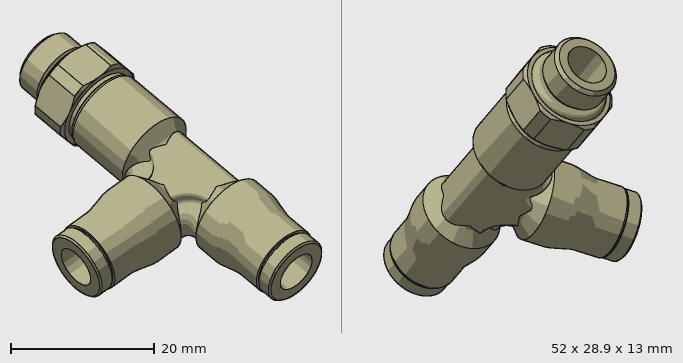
import cadquery as cq
import math


TOTAL_LENGTH = 52.0
BRANCH_X = 30.4
BRANCH_REACH = 21.95
RUN_REACH = TOTAL_LENGTH - BRANCH_X
BODY_R = 6.1
SHOULDER = 7.55

THREAD_R = 4.9
THREAD_CHAMFER = 0.5
THREAD_END = 4.05
RELIEF_R = 4.3

COLLAR_START = 4.75
COLLAR_R = 5.8
HEX_START = 5.55
COLLAR_ROUND = HEX_START - COLLAR_START
HEX_END = 11.5
HEX_FLATS = 13.0
HEX_CORNER_R = 7.0
HEX_CHAMFER = 0.35
WAIST_R = 5.65
WAIST_END = 12.2
WAIST_CONE_R = 5.8
STUD_BODY_START = 12.75

SOCKET_R = 5.25
RING_R = 5.1
RING_CHAMFER = 0.25
GROOVE_R = 4.85
RING_LENGTH = 2.2
GROOVE_BACK = 2.55
TAPER_SMALL = 6.8
TAPER_LARGE = 10.4
TAPER_BLEND = 0.4

PASSAGE_R = 2.0
TUBE_R = 3.0
TUBE_DEPTH = 10.8
STUD_BORE_DEPTH = HEX_END

NECK_HALF = 4.05
NECK_EDGE_R = 2.6
NECK_BLEND_R = 0.85
ELBOW_AXIS = 6.65
ELBOW_INNER = 0.85
ELBOW_TUBE_R = 2.6
STEP_R = (NECK_HALF - ELBOW_TUBE_R) / 2
ARM_END = 7.35


def cylinder_along_x(start, end, radius):
    return cq.Workplane("YZ", origin=(start, 0, 0)).circle(radius).extrude(end - start)


def revolve_about_x(half_profile):
    return half_profile.close().revolve(360, (0, 0, 0), (1, 0, 0))


def shoulder_blend_points():
    """Points (distance from tee centre, radius) from the 45 degree cone down to the neck."""
    cone_foot = SHOULDER - (BODY_R - NECK_HALF)
    tangent = NECK_BLEND_R * math.tan(math.radians(22.5))
    slant = tangent * math.cos(math.radians(45))
    cone_end = (cone_foot + slant, NECK_HALF + slant)
    neck_end = (cone_foot - tangent, NECK_HALF)
    return cone_end, neck_end


def socket(reach):
    """Push-in arm along +X from the tee centre at the origin."""
    slope = math.atan2(BODY_R - SOCKET_R, TAPER_LARGE - TAPER_SMALL)
    blend_x = TAPER_BLEND * math.cos(slope)
    blend_r = TAPER_BLEND * math.sin(slope)
    large = reach - TAPER_LARGE
    small = reach - TAPER_SMALL
    cone_end, neck_end = shoulder_blend_points()
    return revolve_about_x(
        cq.Workplane("XY")
        .moveTo(0, 0)
        .lineTo(0, NECK_HALF)
        .lineTo(*neck_end)
        .tangentArcPoint(cone_end, relative=False)
        .lineTo(SHOULDER, BODY_R)
        .lineTo(large - TAPER_BLEND, BODY_R)
        .tangentArcPoint((large + blend_x, BODY_R - blend_r), relative=False)
        .lineTo(small - blend_x, SOCKET_R + blend_r)
        .tangentArcPoint((small + TAPER_BLEND, SOCKET_R), relative=False)
        .lineTo(reach - GROOVE_BACK, SOCKET_R)
        .lineTo(reach - GROOVE_BACK, GROOVE_R)
        .lineTo(reach - RING_LENGTH, GROOVE_R)
        .lineTo(reach - RING_LENGTH, RING_R)
        .lineTo(reach - RING_CHAMFER, RING_R)
        .lineTo(reach, RING_R - RING_CHAMFER)
        .lineTo(reach, 0)
    )


def stud():
    """Threaded end, collar, waist and long body, up to the tee centre."""
    cone_end, neck_end = shoulder_blend_points()
    return revolve_about_x(
        cq.Workplane("XY")
        .moveTo(0, 0)
        .lineTo(0, THREAD_R - THREAD_CHAMFER)
        .lineTo(THREAD_CHAMFER, THREAD_R)
        .lineTo(THREAD_END, THREAD_R)
        .lineTo(THREAD_END + THREAD_R - RELIEF_R, RELIEF_R)
        .lineTo(COLLAR_START, RELIEF_R)
        .lineTo(COLLAR_START, COLLAR_R - COLLAR_ROUND)
        .tangentArcPoint((HEX_START, COLLAR_R), relative=False)
        .lineTo(HEX_END, WAIST_R)
        .lineTo(WAIST_END, WAIST_R)
        .lineTo(WAIST_END, WAIST_CONE_R)
        .lineTo(STUD_BODY_START, BODY_R)
        .lineTo(BRANCH_X - SHOULDER, BODY_R)
        .lineTo(BRANCH_X - cone_end[0], cone_end[1])
        .tangentArcPoint((BRANCH_X - neck_end[0], neck_end[1]), relative=False)
        .lineTo(BRANCH_X, NECK_HALF)
        .lineTo(BRANCH_X, 0)
    )


def hexagon():
    """Hexagon with flats on +Z and -Z, turned corners and chamfered ends."""
    across_corners = HEX_FLATS / math.cos(math.radians(30))
    prism = (
        cq.Workplane("YZ", origin=(HEX_START, 0, 0))
        .polygon(6, across_corners)
        .extrude(HEX_END - HEX_START)
    )
    end_r = HEX_FLATS / 2
    envelope = revolve_about_x(
        cq.Workplane("XY")
        .moveTo(HEX_START, 0)
        .lineTo(HEX_START, end_r)
        .lineTo(HEX_START + HEX_CHAMFER, HEX_CORNER_R)
        .lineTo(HEX_END - HEX_CHAMFER, HEX_CORNER_R)
        .lineTo(HEX_END, end_r)
        .lineTo(HEX_END, 0)
    )
    return prism.intersect(envelope)


def elbow():
    """Elbow filling the inner corner on the -X side, a rounded tube stepped up to the flats."""
    tube_x = ELBOW_INNER - ELBOW_AXIS + ELBOW_TUBE_R
    wall_x = tube_x + STEP_R
    flat_x = wall_x + STEP_R
    wall_z = ELBOW_TUBE_R + STEP_R
    step_mid = STEP_R * math.cos(math.radians(45))
    section = (
        cq.Workplane("XZ", origin=(0, -ARM_END, 0))
        .moveTo(flat_x, NECK_HALF)
        .threePointArc((flat_x - step_mid, wall_z + step_mid), (wall_x, wall_z))
        .threePointArc((tube_x + step_mid, wall_z - step_mid), (tube_x, ELBOW_TUBE_R))
        .threePointArc((tube_x - ELBOW_TUBE_R, 0), (tube_x, -ELBOW_TUBE_R))
        .threePointArc((tube_x + step_mid, step_mid - wall_z), (wall_x, -wall_z))
        .threePointArc((flat_x - step_mid, -wall_z - step_mid), (flat_x, -NECK_HALF))
        .close()
    )
    path = (
        cq.Workplane("XY")
        .moveTo(tube_x, -ARM_END)
        .lineTo(tube_x, -ELBOW_AXIS)
        .tangentArcPoint((-ELBOW_AXIS, tube_x), relative=False)
        .lineTo(-ARM_END, tube_x)
    )
    return section.sweep(path)


def tee_centre():
    """Flat-sided centre with rounded back edges and an elbow in each inner corner."""
    arm_half = ELBOW_AXIS - ELBOW_INNER - ELBOW_TUBE_R - 2 * STEP_R
    core = (
        cq.Workplane("XY", origin=(0, 0, -NECK_HALF))
        .moveTo(-ARM_END, NECK_HALF)
        .lineTo(ARM_END, NECK_HALF)
        .lineTo(ARM_END, -arm_half)
        .lineTo(ELBOW_AXIS, -arm_half)
        .tangentArcPoint((arm_half, -ELBOW_AXIS), relative=False)
        .lineTo(arm_half, -ARM_END)
        .lineTo(-arm_half, -ARM_END)
        .lineTo(-arm_half, -ELBOW_AXIS)
        .tangentArcPoint((-ELBOW_AXIS, -arm_half), relative=False)
        .lineTo(-ARM_END, -arm_half)
        .close()
        .extrude(2 * NECK_HALF)
        .edges("|X and >Y")
        .fillet(NECK_EDGE_R)
    )
    left_elbow = elbow()
    return core.union(left_elbow).union(left_elbow.mirror("YZ"))


run_socket = socket(RUN_REACH).translate((BRANCH_X, 0, 0))
branch_socket = socket(BRANCH_REACH).rotate((0, 0, 0), (0, 0, 1), -90).translate((BRANCH_X, 0, 0))
fitting = (
    stud()
    .union(hexagon())
    .union(run_socket)
    .union(branch_socket)
    .union(tee_centre().translate((BRANCH_X, 0, 0)))
)

run_passage = cylinder_along_x(0, TOTAL_LENGTH, PASSAGE_R)
stud_bore = cylinder_along_x(0, STUD_BORE_DEPTH, TUBE_R)
run_tube_bore = cylinder_along_x(TOTAL_LENGTH - TUBE_DEPTH, TOTAL_LENGTH, TUBE_R)
branch_passage = (
    cylinder_along_x(0, BRANCH_REACH, PASSAGE_R)
    .union(cylinder_along_x(BRANCH_REACH - TUBE_DEPTH, BRANCH_REACH, TUBE_R))
    .rotate((0, 0, 0), (0, 0, 1), -90)
    .translate((BRANCH_X, 0, 0))
)

result = fitting.cut(run_passage).cut(stud_bore).cut(run_tube_bore).cut(branch_passage)